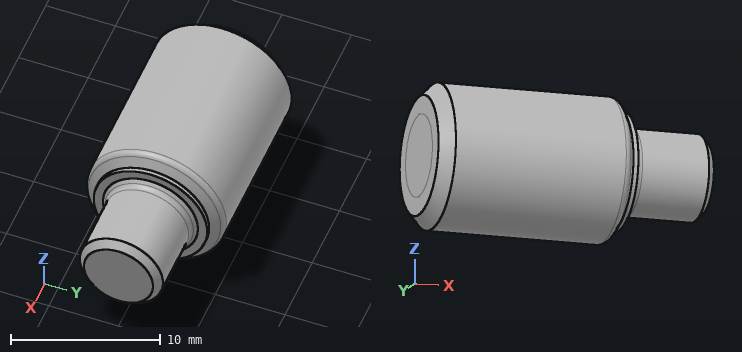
import cadquery as cq
import math

total_length = 20.0
thread_radius = 5.0
thread_root_radius = 4.08
pin_radius = 3.0
pin_chamfer = 0.52

lead_chamfer = thread_radius - thread_root_radius
runout_start = 12.95
runout_angle = math.radians(60)
runout_blend_radius = 0.5
shoulder_x = 14.12

pin_start = 14.78
root_angle = math.radians(45)
root_blend_radius = 0.6

hex_across_flats = 5.0
recess_diameter = 5.6
plug_depth = 5.0


def blend_point(radius, angle):
    """Axial travel and radial change along a blend that starts parallel to X."""
    return radius * math.sin(angle), radius * (1 - math.cos(angle))


def make_body():
    """Revolve the half profile (x, radius) about the X axis."""
    runout_mid_dx, runout_mid_dr = blend_point(runout_blend_radius, runout_angle / 2)
    runout_dx, runout_dr = blend_point(runout_blend_radius, runout_angle)
    runout_cone_x = runout_start + runout_dx
    runout_cone_radius = thread_radius - runout_dr
    collar_x = runout_cone_x + (runout_cone_radius - thread_root_radius) / math.tan(runout_angle)

    root_mid_dx, root_mid_dr = blend_point(root_blend_radius, root_angle / 2)
    root_dx, root_dr = blend_point(root_blend_radius, root_angle)
    root_cone_x = pin_start - root_dx
    root_cone_radius = pin_radius + root_dr
    shoulder_inner_radius = root_cone_radius + (root_cone_x - shoulder_x) * math.tan(root_angle)

    profile = (
        cq.Workplane("XY")
        .moveTo(0, 0)
        .lineTo(0, thread_root_radius)
        .lineTo(lead_chamfer, thread_radius)
        .lineTo(runout_start, thread_radius)
        .threePointArc(
            (runout_start + runout_mid_dx, thread_radius - runout_mid_dr),
            (runout_cone_x, runout_cone_radius),
        )
        .lineTo(collar_x, thread_root_radius)
        .lineTo(shoulder_x, thread_root_radius)
        .lineTo(shoulder_x, shoulder_inner_radius)
        .lineTo(root_cone_x, root_cone_radius)
        .threePointArc(
            (pin_start - root_mid_dx, pin_radius + root_mid_dr),
            (pin_start, pin_radius),
        )
        .lineTo(total_length - pin_chamfer, pin_radius)
        .lineTo(total_length, pin_radius - pin_chamfer)
        .lineTo(total_length, 0)
        .close()
    )
    return profile.revolve(360, (0, 0, 0), (1, 0, 0))


def make_plug():
    """Round plug with the six hex corners standing slightly proud, two of them on the Z axis."""
    hex_across_corners = hex_across_flats / math.cos(math.pi / 6)
    hexagon = (
        cq.Workplane("YZ")
        .transformed(rotate=(0, 0, 90))
        .polygon(6, hex_across_corners)
        .extrude(plug_depth)
    )
    cylinder = cq.Workplane("YZ").circle(recess_diameter / 2).extrude(plug_depth)
    return cylinder.union(hexagon)


plug = make_plug()
result = make_body().cut(plug).union(plug, clean=False)